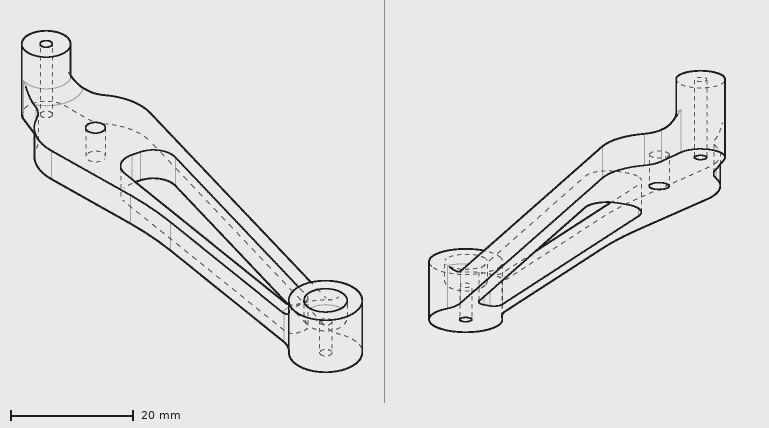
import cadquery as cq
import math

POST_X = -15.0
BOSS_X = 70.0
POST_RADIUS = 4.0
BOSS_RADIUS = 6.0
HUB_RADIUS = 10.0
PLATE_HEIGHT = 5.5
POST_HEIGHT = 13.6
BOSS_HEIGHT = 10.1

NECK_FLARE = 10.3
UPPER_SLOPE = 5.2
LOWER_SLOPE = 11.5
LOWER_TIP_SLOPE = 1.5
LOWER_TIP_OFFSET = 5.7
BLEND_RADIUS = 5.0
BEND_RADIUS = 59.85

SLOT_START_X = 10.1
SLOT_END_X = 62.5
UPPER_ARM_WIDTH = 2.5
LOWER_ARM_WIDTH = 2.0
SLOT_START_RADIUS = 4.0
SLOT_END_RADIUS = 1.5

FOOT_FILLET = 2.0
PIVOT_HOLE_DIAMETER = 3.2
END_HOLE_DIAMETER = 2.0
BORE_DIAMETER = 7.0
BORE_DEPTH = 4.1
BORE_FLOOR_FILLET = 1.0


def normal(edge):
    angle = math.radians(edge[0])
    return math.cos(angle), math.sin(angle)


def shifted(edge, distance):
    return edge[0], edge[1] + distance


def crossing(edge_a, edge_b):
    ax, ay = normal(edge_a)
    bx, by = normal(edge_b)
    det = ax * by - ay * bx
    return (edge_a[1] * by - edge_b[1] * ay) / det, (ax * edge_b[1] - bx * edge_a[1]) / det


def touch_point(edge, center, radius):
    nx, ny = normal(edge)
    return center[0] - radius * nx, center[1] - radius * ny


def arc_middle(start, end, center, radius):
    dx = (start[0] + end[0]) / 2 - center[0]
    dy = (start[1] + end[1]) / 2 - center[1]
    scale = radius / math.hypot(dx, dy)
    return center[0] + dx * scale, center[1] + dy * scale


def circle_blend(edge, circle_x, circle_radius):
    """Concave arc from an edge to the -X side of a circle centred on the X axis.

    Returns (point on the edge, middle point, point on the circle).
    """
    nx, ny = normal(edge)
    across = edge[1] - nx * circle_x + BLEND_RADIUS
    along = math.sqrt((circle_radius + BLEND_RADIUS) ** 2 - across ** 2)
    side = math.copysign(1, ny)
    center = (circle_x + across * nx - along * side * ny, across * ny + along * side * nx)
    on_edge = touch_point(edge, center, BLEND_RADIUS)
    ratio = circle_radius / (circle_radius + BLEND_RADIUS)
    on_circle = (circle_x + (center[0] - circle_x) * ratio, center[1] * ratio)
    return on_edge, arc_middle(on_edge, on_circle, center, BLEND_RADIUS), on_circle


def mirrored(point):
    return point[0], -point[1]


neck_normal = 90 + NECK_FLARE
neck_edge = (neck_normal, POST_RADIUS + POST_X * math.cos(math.radians(neck_normal)))
upper_edge = (90 - UPPER_SLOPE, HUB_RADIUS)
lower_edge = (LOWER_SLOPE - 90, HUB_RADIUS)
lower_tip_edge = (LOWER_TIP_SLOPE - 90, LOWER_TIP_OFFSET)


def plate_outline():
    """Closed plan wire that ends in chords inside the post and the boss."""
    pivot = (0, 0)
    neck_start = touch_point(neck_edge, (POST_X, 0), -POST_RADIUS)
    neck_end, neck_mid, hub_start = circle_blend(neck_edge, 0, HUB_RADIUS)
    upper_start = touch_point(upper_edge, pivot, -HUB_RADIUS)
    upper_end, upper_mid, boss_upper = circle_blend(upper_edge, BOSS_X, BOSS_RADIUS)
    tip_end, tip_mid, boss_lower = circle_blend(lower_tip_edge, BOSS_X, BOSS_RADIUS)
    bend_center = crossing(shifted(lower_edge, BEND_RADIUS), shifted(lower_tip_edge, BEND_RADIUS))
    bend_tip = touch_point(lower_tip_edge, bend_center, BEND_RADIUS)
    bend_hub = touch_point(lower_edge, bend_center, BEND_RADIUS)
    lower_start = touch_point(lower_edge, pivot, -HUB_RADIUS)
    hub_lower = mirrored(hub_start)
    return (
        cq.Workplane("XY")
        .moveTo(*neck_start)
        .lineTo(*neck_end)
        .threePointArc(neck_mid, hub_start)
        .threePointArc(arc_middle(hub_start, upper_start, pivot, HUB_RADIUS), upper_start)
        .lineTo(*upper_end)
        .threePointArc(upper_mid, boss_upper)
        .lineTo(*boss_lower)
        .threePointArc(tip_mid, tip_end)
        .lineTo(*bend_tip)
        .threePointArc(arc_middle(bend_tip, bend_hub, bend_center, BEND_RADIUS), bend_hub)
        .lineTo(*lower_start)
        .threePointArc(arc_middle(lower_start, hub_lower, pivot, HUB_RADIUS), hub_lower)
        .threePointArc(mirrored(neck_mid), mirrored(neck_end))
        .lineTo(*mirrored(neck_start))
        .close()
    )


def foot_flare(center_x, radius):
    """Concave fillet from a cylinder down to the plate top, kept within the plate outline."""
    flare_top = PLATE_HEIGHT + FOOT_FILLET
    foot_radius = radius + FOOT_FILLET
    bulge = FOOT_FILLET * math.sqrt(0.5)
    return (
        cq.Workplane("XZ")
        .lineTo(foot_radius, 0)
        .lineTo(foot_radius, PLATE_HEIGHT)
        .threePointArc((foot_radius - bulge, flare_top - bulge), (radius, flare_top))
        .lineTo(0, flare_top)
        .close()
        .revolve(360, (0, 0), (0, 1))
        .translate((center_x, 0, 0))
        .intersect(plate_outline().extrude(POST_HEIGHT))
    )


def slot():
    upper_side = shifted(upper_edge, -UPPER_ARM_WIDTH)
    lower_side = shifted(lower_tip_edge, -LOWER_ARM_WIDTH)
    start_side = (180, -SLOT_START_X)
    end_side = (0, SLOT_END_X)
    corners = [
        crossing(start_side, lower_side),
        crossing(end_side, lower_side),
        crossing(end_side, upper_side),
        crossing(start_side, upper_side),
    ]
    blank = cq.Workplane("XY").polyline(corners).close().extrude(POST_HEIGHT)
    blank = blank.edges("|Z").edges("<X").fillet(SLOT_START_RADIUS)
    return blank.faces(">X").edges("|Z").fillet(SLOT_END_RADIUS)


def cylinder(center_x, radius, height):
    return cq.Workplane("XY").center(center_x, 0).circle(radius).extrude(height)


def bore():
    blank = cylinder(BOSS_X, BORE_DIAMETER / 2, BORE_DEPTH).faces("<Z").edges().fillet(BORE_FLOOR_FILLET)
    return blank.translate((0, 0, BOSS_HEIGHT - BORE_DEPTH))


result = plate_outline().extrude(PLATE_HEIGHT)
for center_x, radius, height in (
    (POST_X, POST_RADIUS, POST_HEIGHT),
    (BOSS_X, BOSS_RADIUS, BOSS_HEIGHT),
):
    result = result.union(foot_flare(center_x, radius))
    result = result.union(cylinder(center_x, radius, height))
result = result.cut(slot())

for hole_x, diameter in (
    (POST_X, END_HOLE_DIAMETER),
    (0, PIVOT_HOLE_DIAMETER),
    (BOSS_X, END_HOLE_DIAMETER),
):
    result = result.cut(cylinder(hole_x, diameter / 2, POST_HEIGHT))
result = result.cut(bore())